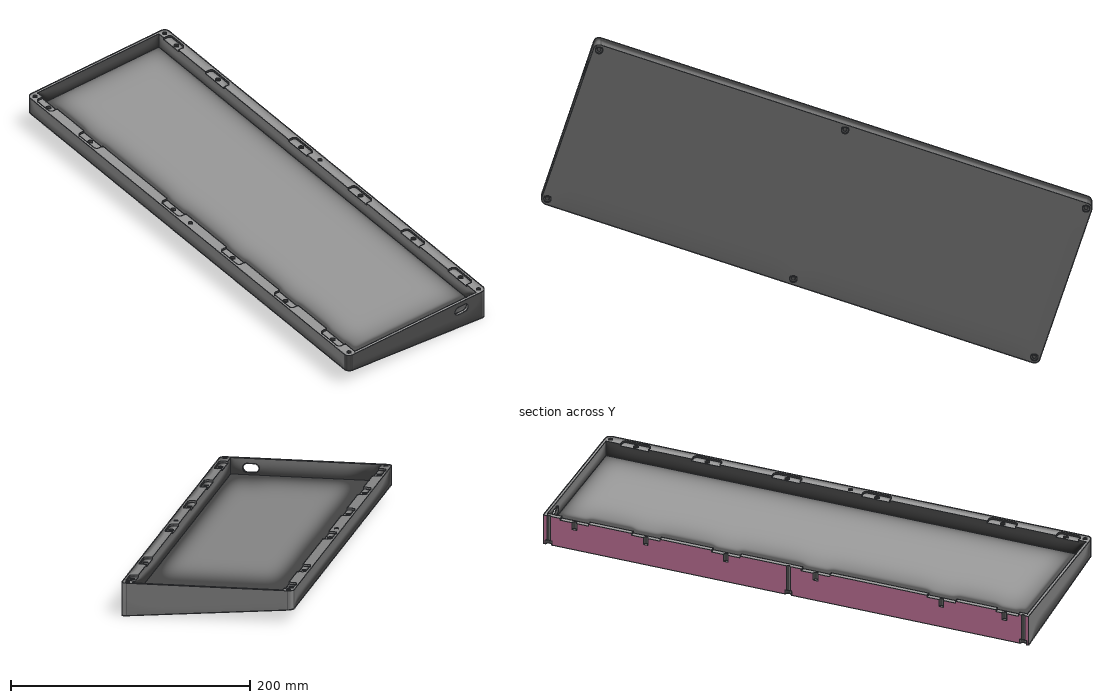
import cadquery as cq

LENGTH = 438.7
WIDTH = 146.5
BACK_HEIGHT = 28.5
FRONT_HEIGHT = 16.2
CORNER_RADIUS = 5.0

END_WALL = 2.5
RAIL_WIDTH = 9.0
RECESS_DEPTH = 14.0

SCREW_DIAMETER = 3.4
SCREW_INSET = 5.0
HEAD_DIAMETER = 6.0
HEAD_DEPTH = 4.0
MIDDLE_SCREW_X = 217.0
SCREW_XS = (SCREW_INSET, MIDDLE_SCREW_X, LENGTH - SCREW_INSET)

POCKET_HALF_WIDTH = 12.7
POCKET_WALL = 2.0
POCKET_DEPTH = 1.8
POCKET_RADIUS = 3.0
BLIND_DIAMETER = 4.0
BLIND_INSET = 5.5
BLIND_DEPTH = 6.5
FULL_POCKET_XS = (79.0, 192.5, 273.8, 346.0, 410.5)
SHORT_POCKET_X = 22.0
SHORT_POCKET_REACH = 7.5

PORT_LENGTH = 14.0
PORT_HEIGHT = 8.0
PORT_FROM_BACK = 26.5
PORT_FROM_TOP = 8.5


def wedge_body():
    """Tray block with a level top and an underside that rises toward the front."""
    block = (
        cq.Workplane("YZ")
        .moveTo(0, 0)
        .lineTo(WIDTH, 0)
        .lineTo(WIDTH, -BACK_HEIGHT)
        .lineTo(0, -FRONT_HEIGHT)
        .close()
        .extrude(LENGTH)
    )
    return block.edges("|Z").fillet(CORNER_RADIUS)


def top_box(x0, x1, y0, y1, depth):
    """Box reaching from the top face down to the given depth."""
    box = cq.Workplane("XY").box(x1 - x0, y1 - y0, depth, centered=False)
    return box.translate((x0, y0, -depth))


def top_hole(x, y, diameter, depth):
    """Vertical cylinder reaching from the top face down to the given depth."""
    return cq.Workplane("XY").center(x, y).circle(diameter / 2).extrude(-depth)


def screw_hole(x, y):
    """Through hole with a counterbore rising from the sloping underside."""
    underside_z = -FRONT_HEIGHT - (BACK_HEIGHT - FRONT_HEIGHT) * y / WIDTH
    head = (
        cq.Workplane("XY", origin=(x, y, underside_z + HEAD_DEPTH))
        .circle(HEAD_DIAMETER / 2)
        .extrude(-BACK_HEIGHT)
    )
    return top_hole(x, y, SCREW_DIAMETER, BACK_HEIGHT).union(head)


def front_pocket(x, right_reach):
    """Front rail pocket around a blind hole at x, reaching right_reach toward +X."""
    recess = top_box(x - POCKET_HALF_WIDTH, x + right_reach, POCKET_WALL, RAIL_WIDTH, POCKET_DEPTH)
    recess = recess.edges("|Z and <Y").fillet(POCKET_RADIUS)
    return recess.union(top_hole(x, BLIND_INSET, BLIND_DIAMETER, POCKET_DEPTH + BLIND_DEPTH))


def end_port():
    """Cutter for the slot through the +X end wall."""
    return (
        cq.Workplane("YZ", origin=(LENGTH - END_WALL, WIDTH - PORT_FROM_BACK, -PORT_FROM_TOP))
        .slot2D(PORT_LENGTH, PORT_HEIGHT)
        .extrude(END_WALL)
    )


tray = wedge_body().cut(
    top_box(END_WALL, LENGTH - END_WALL, RAIL_WIDTH, WIDTH - RAIL_WIDTH, RECESS_DEPTH)
)

pockets = [front_pocket(SHORT_POCKET_X, SHORT_POCKET_REACH)]
for pocket_x in FULL_POCKET_XS:
    pockets.append(front_pocket(pocket_x, POCKET_HALF_WIDTH))
for pocket in pockets:
    tray = tray.cut(pocket)
    tray = tray.cut(pocket.mirror("XZ", (0, WIDTH / 2, 0)))

for screw_x in SCREW_XS:
    for screw_y in (SCREW_INSET, WIDTH - SCREW_INSET):
        tray = tray.cut(screw_hole(screw_x, screw_y))

result = tray.cut(end_port())